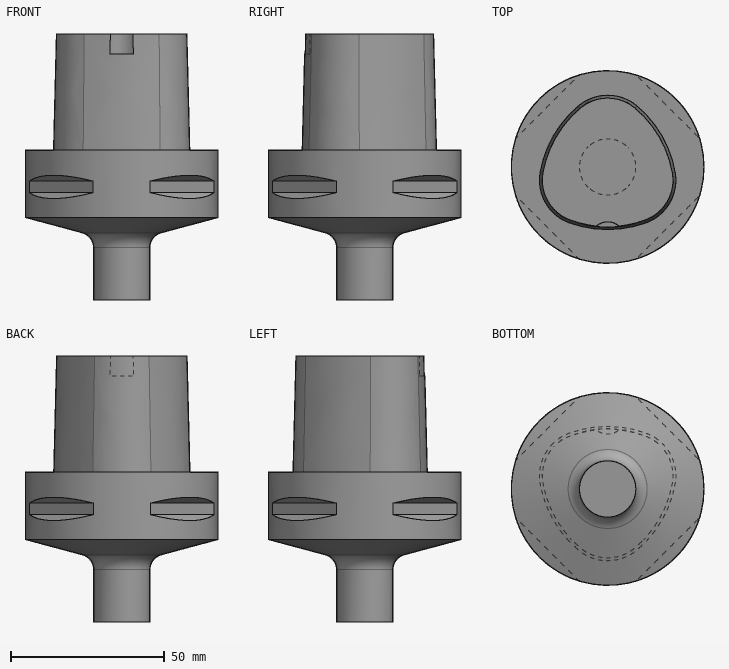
import cadquery as cq
import math

flange_radius = 63 / 2
flange_height = 22
shank_height = 38
length_below_face = 49
neck_radius = 18.4 / 2
cone_angle = math.radians(15)
neck_fillet = 5

lobe_tip_radius = 23.45
flank_mid_radius = 20.45
lobe_center_offset = 8.65
lobe_pitch = 120
lobe_angles = [90 + lobe_pitch * lobe for lobe in range(3)]
taper_angle = math.degrees(math.atan(1 / 40))

groove_angles = (45, 135, 225, 315)
groove_center_z = -12
groove_floor_distance = 27.85
groove_floor_width = 3.7
groove_rim_width = 7.6

notch_radius = 5.5
notch_inner_y = -17.9
notch_depth = 6.6


def polar(radius, angle_degrees):
    angle = math.radians(angle_degrees)
    return (radius * math.cos(angle), radius * math.sin(angle))


def make_body():
    """Flange, conical underside and filleted neck, as one revolved profile."""
    fillet_center_x = neck_radius + neck_fillet
    cone_end_x = fillet_center_x - neck_fillet * math.sin(cone_angle)
    cone_drop = (flange_radius - cone_end_x) * math.tan(cone_angle)
    cone_end_z = -flange_height - cone_drop
    fillet_center_z = cone_end_z - neck_fillet * math.cos(cone_angle)
    middle_angle = (math.pi / 2 + cone_angle + math.pi) / 2
    fillet_middle = (
        fillet_center_x + neck_fillet * math.cos(middle_angle),
        fillet_center_z + neck_fillet * math.sin(middle_angle),
    )
    profile = (
        cq.Workplane("XZ")
        .moveTo(0, 0)
        .lineTo(flange_radius, 0)
        .lineTo(flange_radius, -flange_height)
        .lineTo(cone_end_x, cone_end_z)
        .threePointArc(fillet_middle, (neck_radius, fillet_center_z))
        .lineTo(neck_radius, -length_below_face)
        .lineTo(0, -length_below_face)
        .close()
    )
    return profile.revolve(360, (0, 0, 0), (0, 1, 0))


def lobe_joint_polar():
    """Radius, and angle from the lobe axis, where a lobe arc meets a flank arc."""
    lobe_radius = lobe_tip_radius - lobe_center_offset
    radius_gap = lobe_center_offset - (lobe_tip_radius - flank_mid_radius)
    flank_center_offset = (lobe_center_offset**2 - radius_gap**2) / (2 * radius_gap - lobe_center_offset)
    flank_x, flank_y = polar(-flank_center_offset, lobe_pitch / 2)
    normal_angle = math.atan2(-flank_y, lobe_center_offset - flank_x)
    joint_x = lobe_center_offset + lobe_radius * math.cos(normal_angle)
    joint_y = lobe_radius * math.sin(normal_angle)
    return math.hypot(joint_x, joint_y), math.degrees(math.atan2(joint_y, joint_x))


def make_shank():
    joint_radius, joint_angle = lobe_joint_polar()
    outline = cq.Workplane("XY").moveTo(*polar(joint_radius, lobe_angles[0] - joint_angle))
    for angle in lobe_angles:
        lobe_end = polar(joint_radius, angle + joint_angle)
        flank_end = polar(joint_radius, angle + lobe_pitch - joint_angle)
        outline = outline.threePointArc(polar(lobe_tip_radius, angle), lobe_end)
        outline = outline.threePointArc(polar(flank_mid_radius, angle + lobe_pitch / 2), flank_end)
    return outline.close().extrude(shank_height, taper=taper_angle)


def make_groove(angle):
    """Cutter for one straight groove with a flat floor and flaring walls."""
    half_floor = groove_floor_width / 2
    half_rim = groove_rim_width / 2
    section = [
        (groove_floor_distance, groove_center_z - half_floor),
        (flange_radius, groove_center_z - half_rim),
        (flange_radius, groove_center_z + half_rim),
        (groove_floor_distance, groove_center_z + half_floor),
    ]
    cutter = cq.Workplane("XZ").polyline(section).close().extrude(flange_radius, both=True)
    return cutter.rotate((0, 0, 0), (0, 0, 1), angle)


def make_notch():
    return (
        cq.Workplane("XY", origin=(0, notch_inner_y - notch_radius, shank_height - notch_depth))
        .circle(notch_radius)
        .extrude(notch_depth)
    )


result = make_body().union(make_shank())
for groove_angle in groove_angles:
    result = result.cut(make_groove(groove_angle))
result = result.cut(make_notch())